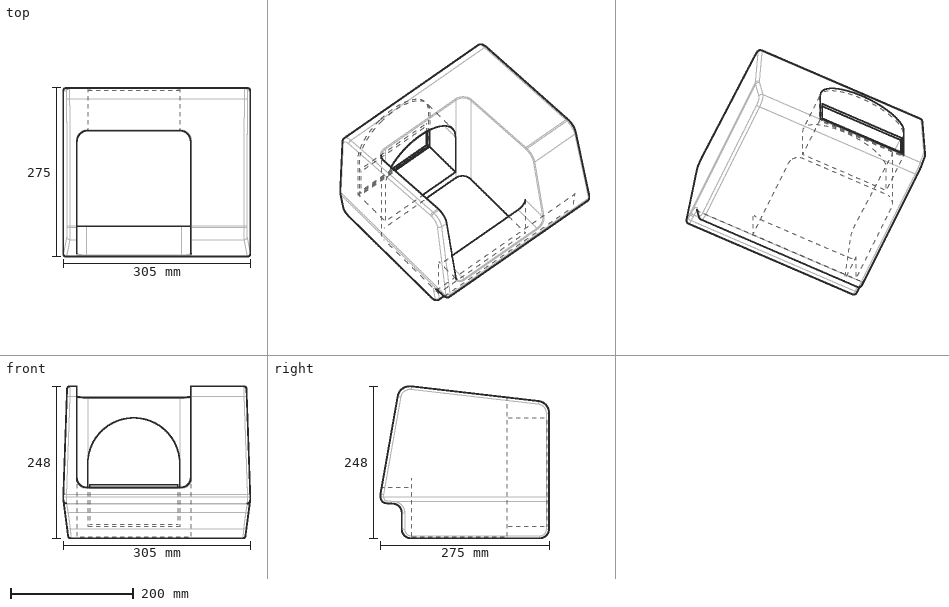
import cadquery as cq
import math


width = 305.0
depth = 275.0
height = 248.0

back_height = 222.0
roof_front_y = -224.5
front_lean = math.radians(10)
brow_radius = 20.0
lip_top_z = 72.4
lip_under_z = 57.5
lip_slope = math.radians(3)
lip_radius = 11.0
step_y = -240.5
step_radius = 14.0
base_radius = 16.0

knee_z = 64.5
knee_half_width = width / 2 + 0.1
knee_radius = 44.0
upper_draft = math.radians(2)
lower_draft = math.radians(7.5)
outline_radius = 5.0

bay_x = -37.5
bay_width = 185.0
bay_corner = 17.5
bay_back_y = -69.5
bay_front_y = -225.0
floor_z = 3.0
sill_z = 83.3
mouth_corner = 15.0
bay_rim_radius = 1.5

tunnel_width = bay_width - 2 * bay_corner
tunnel_top_z = 196.5
tunnel_floor_z = 20.0
plate_thickness = 4.0

window_margin = 3.5
window_top_z = 87.3

tolerance = 0.01


def make_profile_prism():
    """Side profile carried across the full width, with its corners rounded."""
    front_top_y = -depth + (height - lip_top_z) * math.tan(front_lean)
    lip_back_z = lip_under_z - (depth + step_y) * math.tan(lip_slope)
    corners = [
        (0, 0, base_radius),
        (0, back_height, brow_radius),
        (roof_front_y, height, 0),
        (front_top_y, height, brow_radius),
        (-depth, lip_top_z, 0),
        (-depth, lip_under_z, lip_radius),
        (step_y, lip_back_z, step_radius),
        (step_y, 0, base_radius),
    ]
    prism = (
        cq.Workplane("YZ")
        .polyline([(y, z) for y, z, radius in corners])
        .close()
        .extrude(width, both=True)
    )
    for y, z, radius in corners:
        if radius > 0:
            corner_edge = cq.selectors.BoxSelector(
                (-width, y - tolerance, z - tolerance),
                (width, y + tolerance, z + tolerance),
            )
            prism = prism.edges(corner_edge).fillet(radius)
    return prism


def make_drafted_sides():
    """End-on outline of the side walls carried along the full depth."""
    top_half = knee_half_width - (height - knee_z) * math.tan(upper_draft)
    base_half = knee_half_width - knee_z * math.tan(lower_draft)
    sides = (
        cq.Workplane("XZ")
        .polyline([
            (-base_half, 0),
            (-knee_half_width, knee_z),
            (-top_half, height),
            (top_half, height),
            (knee_half_width, knee_z),
            (base_half, 0),
        ])
        .close()
        .extrude(depth)
    )
    for side in (-1, 1):
        knee = cq.selectors.NearestToPointSelector((side * knee_half_width, -depth / 2, knee_z))
        sides = sides.edges(knee).fillet(knee_radius)
    return sides


def is_side_face(face):
    steepest_draft = max(upper_draft, lower_draft)
    return abs(face.normalAt().x) > math.cos(steepest_draft) - tolerance


def make_block():
    """Solid outer form, with the outline of each side wall rounded."""
    block = make_profile_prism().intersect(make_drafted_sides())
    side_edges = [edge for face in block.faces().vals() if is_side_face(face) for edge in face.Edges()]
    outline = [edge for edge in side_edges if sum(edge.isSame(other) for other in side_edges) == 1]
    return block.newObject(outline).fillet(outline_radius)


def make_well():
    """Main space of the bay, open at the roof."""
    return (
        cq.Workplane("XY", origin=(bay_x, (bay_back_y + bay_front_y) / 2, floor_z))
        .rect(bay_width, bay_back_y - bay_front_y)
        .extrude(height)
        .edges("|Z and >Y")
        .fillet(bay_corner)
    )


def make_mouth():
    """Passage from the well through the front wall, with rounded lower corners."""
    return (
        cq.Workplane("XY", origin=(bay_x, bay_front_y - depth / 2, sill_z))
        .rect(bay_width, depth)
        .extrude(height)
        .edges("|Y and <Z")
        .fillet(mouth_corner)
    )


def make_arch(front_y):
    """Solid with the tunnel's arched section, from front_y to the back face."""
    half_width = tunnel_width / 2
    spring_z = tunnel_top_z - half_width
    return (
        cq.Workplane("XZ", origin=(bay_x, 0, 0))
        .moveTo(-half_width, tunnel_floor_z)
        .lineTo(-half_width, spring_z)
        .threePointArc((0, tunnel_top_z), (half_width, spring_z))
        .lineTo(half_width, tunnel_floor_z)
        .close()
        .extrude(-front_y)
    )


def make_housing():
    block = make_block()
    skin = block.val().Shells()[0]
    housing = block.cut(make_well()).cut(make_mouth(), clean=False)

    def is_on_bay_rim(edge):
        middle = edge.positionAt(0.5)
        on_skin = skin.distance(cq.Vertex.makeVertex(*middle.toTuple())) < tolerance
        beside_bay = abs(middle.x - bay_x) < bay_width / 2 + tolerance
        above_sill = middle.z > sill_z - tolerance
        in_front_of_back_wall = middle.y < bay_back_y + tolerance
        return on_skin and beside_bay and above_sill and in_front_of_back_wall

    rim = [edge for edge in housing.edges().vals() if is_on_bay_rim(edge)]
    housing = housing.newObject(rim).fillet(bay_rim_radius)
    return housing.cut(make_arch(bay_back_y), clean=False)


def make_plate():
    """Plate that fills the back end of the tunnel, with a window low in it."""
    window_bottom_z = tunnel_floor_z + window_margin
    window = (
        cq.Workplane("XZ", origin=(bay_x, 0, (window_bottom_z + window_top_z) / 2))
        .rect(tunnel_width - 2 * window_margin, window_top_z - window_bottom_z)
        .extrude(plate_thickness)
    )
    return make_arch(-plate_thickness).cut(window)


housing = make_housing()
plate = make_plate()
result = cq.Compound.makeCompound([housing.val(), plate.val()])